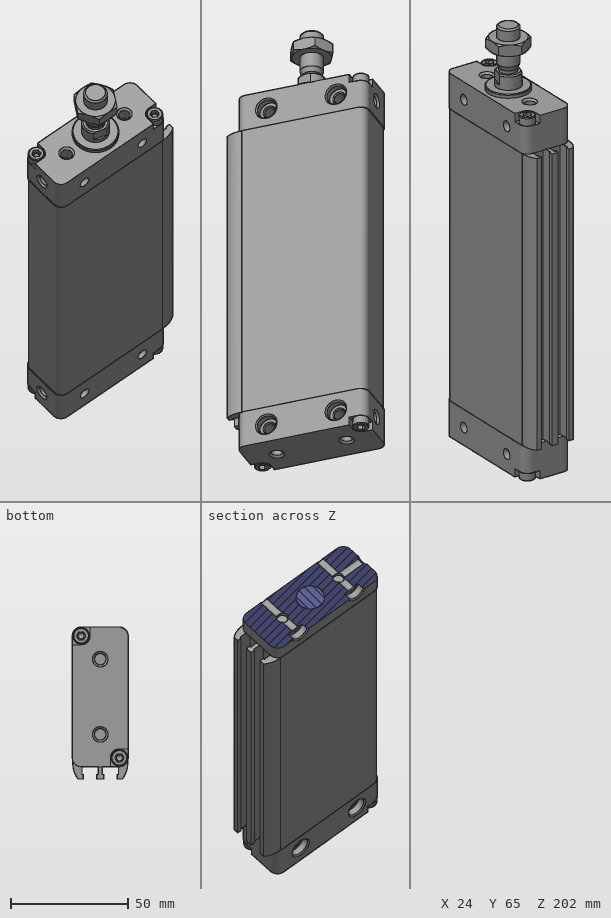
import cadquery as cq
import math

hex_corner_ratio = 1 / math.cos(math.radians(30))

cap_width = 24.0
cap_depth = 59.8
cap_height = 17.0
corner_radius = 4.0
front_face_y = -cap_depth / 2

body_height = 172.0
barrel_height = body_height - 2 * cap_height
barrel_inset = 0.15
barrel_front_inset = 0.5
barrel_half = cap_width / 2 - barrel_inset
overall_depth = 65.0
rail_top_y = front_face_y + overall_depth
rail_floor_y = 27.5
rail_step = 0.1
rail_bulge_x = 0.7
rail_bulge_y = 4.8
rail_top_half = 9.5
rail_lip_height = 2.0
rail_slot_width = 6.9
rail_opening_width = 5.7
rail_middle_web = 1.8

hole_spacing = 32.1
hole_level = 8.5
thread_diameter = 4.8
thread_mouth_diameter = 6.7
mount_mouth_diameter = 5.9
end_hole_depth = 12.1
mount_bore_diameter = 8.7
mount_bore_chamfer = 0.6
mount_bore_depth = 3.6

screw_inset = 3.8
screw_x = cap_width / 2 - screw_inset
screw_y = cap_depth / 2 - screw_inset
notch_diameter = 7.7
notch_depth = 3.8
head_diameter = 7.0
head_chamfer = 0.5
socket_width = 3.5
socket_cone_diameter = 2.6
socket_cone_height = 0.8
socket_depth = 2.0

rod_diameter = 12.0
collar_diameter = 20.0
collar_height = 1.8
collar_chamfer = 0.5
total_height = 202.0
thread_rod_diameter = 10.0
thread_start = 184.2
neck_diameter = 8.3
neck_top = 182.0
shoulder_level = 180.5
shoulder_chamfer = 0.6
tip_chamfer = 0.8
flat_spacing = 10.0
flat_bottom = 175.7
flat_angle = -15.0
nut_width = 17.0
nut_bottom = 190.9
nut_height = 5.5
nut_chamfer_height = 0.8
nut_chamfer_angle = 30.0


def turned(profile):
    """Solid of revolution about Z from (radius, height) points."""
    return cq.Workplane("XZ").polyline(profile).close().revolve(360, (0, 0, 0), (0, 1, 0))


def screw_notch():
    """Corner pocket around a screw head, open to both outer sides."""
    radius = notch_diameter / 2
    reach = 2 * screw_inset
    round_part = cq.Workplane("XY").circle(radius).extrude(notch_depth)
    side_part = cq.Workplane("XY").box(reach, radius * 2, notch_depth, centered=(False, True, False))
    front_part = cq.Workplane("XY").box(radius * 2, reach, notch_depth, centered=(True, False, False))
    return (
        round_part
        .union(side_part.translate((-reach, 0, 0)))
        .union(front_part.translate((0, -reach, 0)))
    )


def screw_head():
    """Head with a hexagon socket that ends in a cone."""
    head = cq.Workplane("XY").circle(head_diameter / 2).extrude(notch_depth)
    head = head.faces(">Z").chamfer(head_chamfer)
    socket_corners = socket_width * hex_corner_ratio
    head = head.faces(">Z").workplane().polygon(6, socket_corners).cutBlind(-socket_depth)
    floor_level = notch_depth - socket_depth
    cone = cq.Solid.makeCone(0, socket_cone_diameter / 2, socket_cone_height)
    return head.cut(cq.Workplane(cone).translate((0, 0, floor_level - socket_cone_height)))


def threaded_hole(depth, mouth_diameter=thread_mouth_diameter):
    """Cutter along -Z from the origin, with a chamfered mouth."""
    mouth_radius = mouth_diameter / 2
    radius = thread_diameter / 2
    mouth_chamfer = mouth_radius - radius
    return turned([
        (0, 0),
        (mouth_radius, 0),
        (radius, -mouth_chamfer),
        (radius, -depth),
        (0, -depth),
    ])


def mounting_hole():
    """Cutter along -Z from the origin: chamfered counterbore, then a chamfered threaded hole."""
    bore_radius = mount_bore_diameter / 2
    bore = turned([
        (0, 0),
        (bore_radius + mount_bore_chamfer, 0),
        (bore_radius, -mount_bore_chamfer),
        (bore_radius, -mount_bore_depth),
        (0, -mount_bore_depth),
    ])
    thread = threaded_hole(cap_width - mount_bore_depth, mount_mouth_diameter)
    return bore.union(thread.translate((0, 0, -mount_bore_depth)))


def add_screws(cap):
    """Sink a screw head into its notch in two opposite corners."""
    for side, turn in ((-1, 0), (1, 180)):
        spot = (side * screw_x, side * screw_y, cap_height - notch_depth)
        notch = screw_notch().rotate((0, 0, 0), (0, 0, 1), turn)
        cap = cap.cut(notch.translate(spot)).union(screw_head().translate(spot))
    return cap


def cap_block():
    """Cap standing on Z = 0 with its outer face up and every hole both caps share."""
    cap = cq.Workplane("XY").rect(cap_width, cap_depth).extrude(cap_height)
    cap = cap.edges("|Z").fillet(corner_radius)
    cross_level = cap_height - hole_level

    for side in (-1, 1):
        hole_y = side * hole_spacing / 2
        mount = mounting_hole().rotate((0, 0, 0), (0, 1, 0), -90)
        cap = cap.cut(mount.translate((-cap_width / 2, hole_y, cross_level)))
        cap = cap.cut(threaded_hole(end_hole_depth).translate((0, hole_y, cap_height)))

    port = threaded_hole(-front_face_y - hole_spacing / 2)
    port = port.rotate((0, 0, 0), (1, 0, 0), 90).translate((0, front_face_y, cross_level))
    return add_screws(cap.cut(port))


def make_upper_cap():
    """Cap block with the collar and the bore that guides the rod."""
    cap = cap_block()
    collar = cq.Workplane("XY").circle(collar_diameter / 2).extrude(collar_height)
    collar = collar.faces(">Z").edges().chamfer(collar_chamfer)
    cap = cap.union(collar.translate((0, 0, cap_height)))
    rod_bore = cq.Workplane("XY").circle(rod_diameter / 2).extrude(cap_height + collar_height)
    return cap.cut(rod_bore).translate((0, 0, body_height - cap_height))


def make_lower_cap():
    """Cap block mirrored so that its outer face points down."""
    return cap_block().mirror("XY").translate((0, 0, cap_height))


def make_barrel():
    """Rounded profile with three rails on its back that form two sensor slots."""
    barrel_front_y = front_face_y + barrel_front_inset
    barrel_depth = rail_floor_y - barrel_front_y
    body = cq.Workplane("XY").box(
        2 * barrel_half, barrel_depth, barrel_height, centered=(True, False, False)
    )
    body = body.translate((0, barrel_front_y, 0))
    body = body.edges("|Z and <Y").fillet(corner_radius - barrel_inset)
    rail_half = barrel_half - rail_step
    bulge_half = rail_half - rail_bulge_x
    bulge_y = rail_floor_y + rail_bulge_y
    rail = (
        cq.Workplane("XY")
        .moveTo(-rail_half, rail_floor_y)
        .lineTo(rail_half, rail_floor_y)
        .threePointArc((bulge_half, bulge_y), (rail_top_half, rail_top_y))
        .lineTo(-rail_top_half, rail_top_y)
        .threePointArc((-bulge_half, bulge_y), (-rail_half, rail_floor_y))
        .close()
        .extrude(barrel_height)
    )
    body = body.union(rail)
    slot_offset = (rail_middle_web + rail_slot_width) / 2
    slot_top = rail_top_y - rail_lip_height
    for side in (-1, 1):
        slot = cq.Workplane("XY").box(
            rail_slot_width, slot_top - rail_floor_y, barrel_height, centered=(True, False, False)
        )
        opening = cq.Workplane("XY").box(
            rail_opening_width, rail_top_y - rail_floor_y, barrel_height, centered=(True, False, False)
        )
        body = body.cut(slot.union(opening).translate((side * slot_offset, rail_floor_y, 0)))
    return body.translate((0, 0, cap_height))


def make_rod():
    """Rod with two wrench flats, an undercut neck and a threaded tip."""
    rod_radius = rod_diameter / 2
    neck_radius = neck_diameter / 2
    thread_radius = thread_rod_diameter / 2
    rod_bottom = body_height - cap_height
    rod = turned([
        (0, rod_bottom),
        (rod_radius, rod_bottom),
        (rod_radius, shoulder_level - shoulder_chamfer),
        (rod_radius - shoulder_chamfer, shoulder_level),
        (neck_radius, shoulder_level),
        (neck_radius, neck_top),
        (thread_radius, thread_start),
        (thread_radius, total_height - tip_chamfer),
        (thread_radius - tip_chamfer, total_height),
        (0, total_height),
    ])
    flat_height = shoulder_level - flat_bottom
    for turn in (0, 180):
        cutter = cq.Workplane("XY").box(
            rod_diameter, rod_diameter, flat_height, centered=(False, True, False)
        )
        cutter = cutter.translate((flat_spacing / 2, 0, flat_bottom))
        rod = rod.cut(cutter.rotate((0, 0, 0), (0, 0, 1), flat_angle + turn))
    return rod


def make_nut():
    """Hexagon nut chamfered on both end faces."""
    corner_diameter = nut_width * hex_corner_ratio
    edge_radius = nut_width / 2
    mid_radius = edge_radius + nut_chamfer_height / math.tan(math.radians(nut_chamfer_angle))
    nut = cq.Workplane("XY").polygon(6, corner_diameter).extrude(nut_height)
    nut = nut.rotate((0, 0, 0), (0, 0, 1), 90)
    chamfer_shape = turned([
        (0, 0),
        (edge_radius, 0),
        (mid_radius, nut_chamfer_height),
        (mid_radius, nut_height - nut_chamfer_height),
        (edge_radius, nut_height),
        (0, nut_height),
    ])
    bore = cq.Workplane("XY").circle(thread_rod_diameter / 2).extrude(nut_height)
    return nut.intersect(chamfer_shape).cut(bore).translate((0, 0, nut_bottom))


lower_cap = make_lower_cap()
barrel = make_barrel()
upper_cap = make_upper_cap()
rod = make_rod()
nut = make_nut()

result = cq.Compound.makeCompound([lower_cap.val(), barrel.val(), upper_cap.val(), rod.val(), nut.val()])